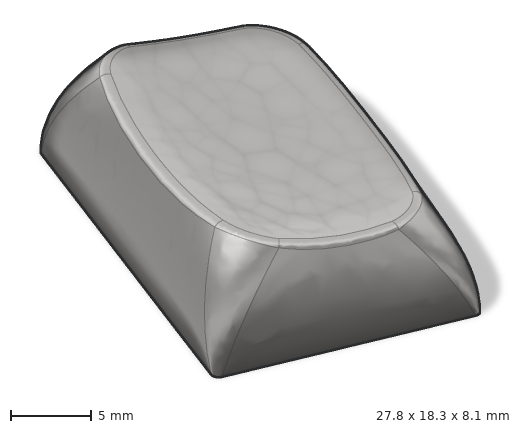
import cadquery as cq

base_x = 27.75
base_y = 18.18
height = 8.77
tilt = -6.0
inset = 4.45
bow = 1.7
base_corner = 0.5
mid_corner = 2.22
mid_inset = 1.17
mid_fraction = 0.5
top_corner = 5.0
rim_fillet = 0.6
dish_depth = 2.8
end_depth = 1.3
dish_margin = 2.0
chord_drop = 0.5

top_x = base_x - inset
top_y = base_y - inset


def rounded_rectangle(reduction, corner):
    return cq.Sketch().rect(base_x - reduction, base_y - reduction).vertices().fillet(corner)


def bowed_rectangle():
    """Top section: four arcs bulging outward, with rounded corners."""
    half_x = top_x / 2
    half_y = top_y / 2
    x = half_x - bow
    y = half_y - bow
    return (
        cq.Sketch()
        .arc((-x, -y), (-half_x, 0), (-x, y))
        .arc((-x, y), (0, half_y), (x, y))
        .arc((x, y), (half_x, 0), (x, -y))
        .arc((x, -y), (0, -half_y), (-x, -y))
        .assemble()
        .vertices()
        .fillet(top_corner)
    )


def raised(sketch, fraction):
    """Lift and tilt a section by a fraction of the full height."""
    place = cq.Location(cq.Vector(0, 0, height * fraction), cq.Vector(1, 0, 0), tilt * fraction)
    return sketch.moved(place)


def dish_section(work, half_chord, chord_z, depth):
    return (
        work.moveTo(-half_chord, chord_z)
        .threePointArc((0, -depth), (half_chord, chord_z))
        .lineTo(base_y / 2, height)
        .lineTo(-base_y / 2, height)
        .close()
    )


def dish():
    """Cutter for the saddle: shallow at both ends and deepest in the middle."""
    half_y = base_y / 2
    work = cq.Workplane("YZ").transformed(
        offset=cq.Vector(0, height, base_x / 2), rotate=cq.Vector(0, 0, tilt)
    )
    work = dish_section(work, half_y - dish_margin, 0, end_depth)
    work = work.workplane(offset=-base_x / 2)
    work = dish_section(work, half_y + dish_margin, -chord_drop, dish_depth)
    work = work.workplane(offset=-base_x / 2)
    work = dish_section(work, half_y - dish_margin, 0, end_depth)
    return work.loft(combine=False)


body = (
    cq.Workplane("XY")
    .placeSketch(
        rounded_rectangle(0, base_corner),
        raised(rounded_rectangle(mid_inset, mid_corner), mid_fraction),
        raised(bowed_rectangle(), 1.0),
    )
    .loft()
)
dished = body.cut(dish())
dish_face = cq.selectors.NearestToPointSelector((0, 0, height))
result = dished.faces(dish_face).edges().fillet(rim_fillet)